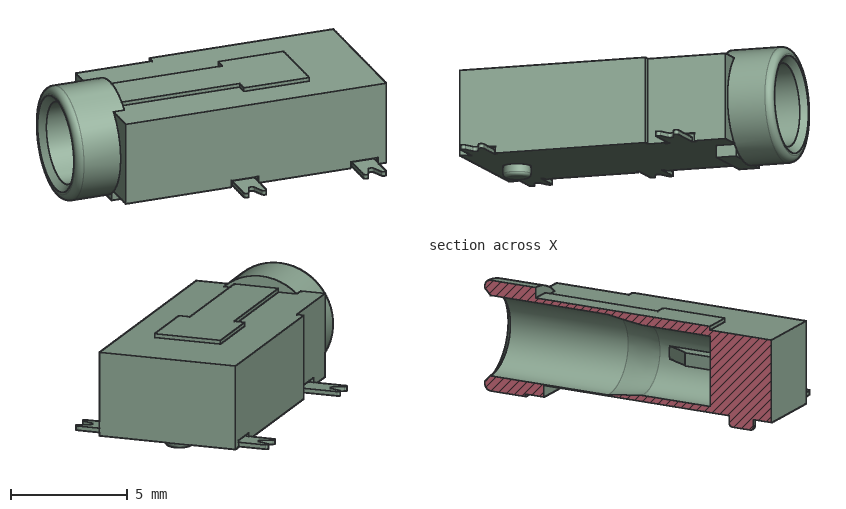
import cadquery as cq
import math


overlap = 0.07

overall_length = 14.0
overall_width = 8.78

housing_length = 12.0
housing_half_width = 3.11
housing_top = 1.86
housing_bottom = -1.86
step_length = 3.53
step_depth = 0.34

strip_height = 0.17
pad_front = 5.99
pad_rear = 9.0
pad_left, pad_right = -1.32, 1.7
neck_left, neck_right = -0.83, 1.19

barrel_radius = 5.0 / 2
barrel_length = overall_length - housing_length
barrel_rear = 0.5
rim_fillet = 0.31
mouth_chamfer_radius = 2.1
bore_mouth_radius = 3.6 / 2
bore_end_radius = 3.14 / 2
mouth_chamfer_depth = 0.28
bore_depth = 11.0
bore_taper_start = 6.0
bore_taper_length = 1.68

contact_width = 0.59
contact_tip_x = -1.0
contact_tip_bevel = 0.07
contact_ramp_length = 1.19
contact_front = 5.99

foot_half_width = 1.44
foot_length = 0.9
foot_height = 0.52
post_radius = 1.2 / 2
post_y = 10.51
post_height = 0.49
post_fillet = 0.17

pin_tip_x = overall_width / 2
pin_width = 1.04
pin_thickness = 0.2
notch_depth = 0.6
tine_round = 0.11
notch_round = 0.14
rear_recess_width, rear_recess_height = 1.26, 0.31
front_recess_width, front_recess_height = 1.37, 0.35
recess_depth = 0.2
rear_pin_y = 10.99
middle_pin_y = 5.49
front_pin_y = 2.1
stepped_wall_x = housing_half_width - step_depth
rear_recess = (rear_recess_width, rear_recess_height)
front_recess = (front_recess_width, front_recess_height)
pins = [
    (-1, rear_pin_y, housing_half_width, rear_recess),
    (-1, front_pin_y, stepped_wall_x, front_recess),
    (1, rear_pin_y, housing_half_width, rear_recess),
    (1, middle_pin_y, housing_half_width, rear_recess),
]


def box(x0, x1, y0, y1, z0, z1):
    return cq.Workplane("XY").box(x1 - x0, y1 - y0, z1 - z0, centered=False).translate((x0, y0, z0))


def make_housing():
    body = box(-housing_half_width, housing_half_width, 0, housing_length, housing_bottom, housing_top)
    step = box(-housing_half_width, -stepped_wall_x, 0, step_length, housing_bottom, housing_top)
    return body.cut(step)


def make_strip():
    base = housing_top - overlap
    top = housing_top + strip_height
    pad = box(pad_left, pad_right, pad_front, pad_rear, base, top)
    neck = box(neck_left, neck_right, barrel_rear, pad_front, base, top)
    return pad.union(neck)


def make_barrel():
    barrel = cq.Workplane("XZ", origin=(0, barrel_rear, 0)).circle(barrel_radius)
    barrel = barrel.extrude(barrel_rear + barrel_length)
    barrel = barrel.faces("<Y").edges().fillet(rim_fillet)
    below_floor = box(-barrel_radius, barrel_radius, 0, barrel_rear, -barrel_radius, housing_bottom)
    return barrel.cut(below_floor)


def make_bore():
    mouth = -barrel_length
    taper_start = mouth + bore_taper_start
    taper_end = taper_start + bore_taper_length
    end = mouth + bore_depth
    profile = [
        (0, mouth),
        (mouth_chamfer_radius, mouth),
        (bore_mouth_radius, mouth + mouth_chamfer_depth),
        (bore_mouth_radius, taper_start),
        (bore_end_radius, taper_end),
        (bore_end_radius, end),
        (0, end),
    ]
    return cq.Workplane("XY").polyline(profile).close().revolve(360, (0, 0, 0), (0, 1, 0))


def make_contact():
    root_x = -bore_end_radius - overlap
    end = bore_depth - barrel_length + overlap
    ramp_end = contact_front + contact_ramp_length
    outline = [
        (root_x, contact_front),
        (contact_tip_x - contact_tip_bevel, ramp_end),
        (contact_tip_x, ramp_end + contact_tip_bevel),
        (contact_tip_x, end),
        (root_x, end),
    ]
    return cq.Workplane("XY").polyline(outline).close().extrude(contact_width / 2, both=True)


def make_foot():
    return box(-foot_half_width, foot_half_width, 0, foot_length,
               housing_bottom - foot_height, housing_bottom)


def make_post():
    post = cq.Workplane("XY").circle(post_radius).extrude(-post_height)
    return post.faces("<Z").edges().fillet(post_fillet).translate((0, post_y, housing_bottom))


def make_pin(root_x):
    half_width = pin_width / 2
    tine_x = pin_tip_x - tine_round
    tine_y = half_width - tine_round
    notch_floor_x = pin_tip_x - notch_depth
    notch_x = notch_floor_x + notch_round

    centre_distance = math.hypot(tine_x - notch_x, tine_y)
    centre_angle = math.atan2(tine_y, tine_x - notch_x)
    normal_angle = centre_angle + math.acos((tine_round + notch_round) / centre_distance)
    normal_x = math.cos(normal_angle)
    normal_y = math.sin(normal_angle)
    flank_outer_x = tine_x - tine_round * normal_x
    flank_outer_y = tine_y - tine_round * normal_y
    flank_inner_x = notch_x + notch_round * normal_x
    flank_inner_y = notch_round * normal_y

    return (
        cq.Workplane("XY")
        .moveTo(root_x, half_width)
        .lineTo(tine_x, half_width)
        .threePointArc((pin_tip_x, tine_y), (flank_outer_x, flank_outer_y))
        .lineTo(flank_inner_x, flank_inner_y)
        .threePointArc((notch_floor_x, 0), (flank_inner_x, -flank_inner_y))
        .lineTo(flank_outer_x, -flank_outer_y)
        .threePointArc((pin_tip_x, -tine_y), (tine_x, -half_width))
        .lineTo(root_x, -half_width)
        .close()
        .extrude(pin_thickness)
    )


def add_pin(part, side, y, wall_x, recess_size):
    recess_width, recess_height = recess_size
    floor_x = wall_x - recess_depth
    recess = box(floor_x, wall_x, -recess_width / 2, recess_width / 2, 0, recess_height)
    pin = make_pin(floor_x - overlap)
    if side < 0:
        recess = recess.mirror("YZ")
        pin = pin.mirror("YZ")
    place = (0, y, housing_bottom)
    return part.cut(recess.translate(place)).union(pin.translate(place))


result = make_housing().union(make_strip()).union(make_barrel())
result = result.cut(make_bore()).union(make_contact())
result = result.union(make_foot()).union(make_post())
for pin_side, pin_y, pin_wall_x, pin_recess in pins:
    result = add_pin(result, pin_side, pin_y, pin_wall_x, pin_recess)